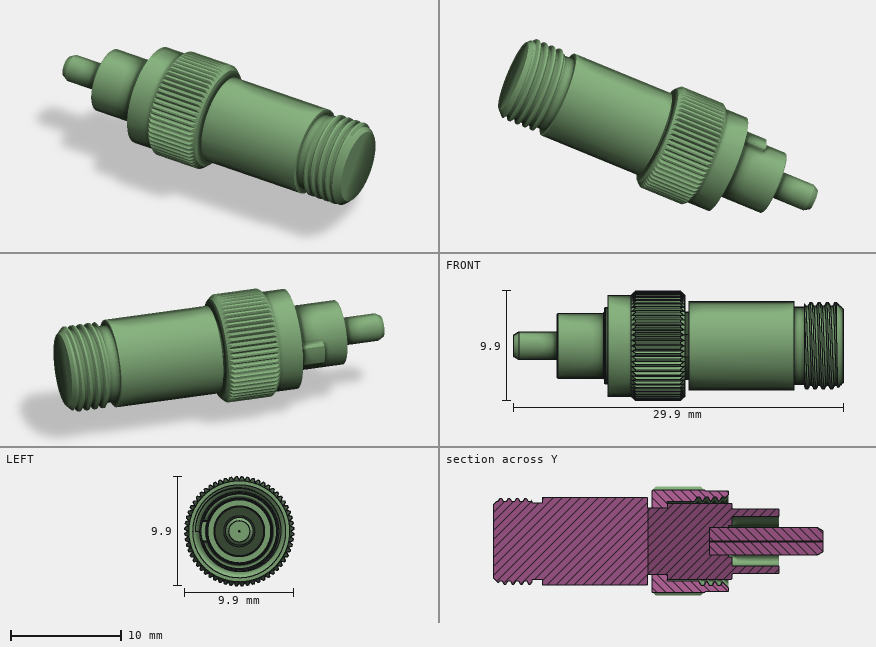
import cadquery as cq
import math


OVERALL_LENGTH = 29.92

FIBRE_RADIUS = 0.063
FERRULE_RADIUS = 1.25
FERRULE_TIP_RADIUS = 0.95
FERRULE_TIP_LENGTH = 0.5
FERRULE_SEAT_DEPTH = 1.8

SLEEVE_START = 3.98
SLEEVE_RADIUS = 2.947
SLEEVE_BORE_RADIUS = 2.2
SLEEVE_EDGE = 0.1
CLEARANCE_RADIUS = 1.4
CLEARANCE_DEPTH = 0.3
COLLAR_START = 8.25
COLLAR_RADIUS = 3.47
NECK_RADIUS = 3.05
NECK_FLAT_OFFSET = 2.87
KEY_START = 6.25
KEY_WIDTH = 1.97
KEY_CHAMFER = 0.135

NUT_START = 8.6
NUT_END = 15.55
NUT_RADIUS = 4.58
KNURL_START = 10.68
KNURL_RADIUS = 4.952
KNURL_ROOT_RADIUS = 4.67
KNURL_COUNT = 60
KNURL_GROOVE_WIDTH = 0.35
KNURL_CHAMFER_LENGTH = 0.42
NUT_MOUTH_RADIUS = 4.22
NUT_THREAD_MINOR_RADIUS = 3.6
NUT_THREAD_MAJOR_RADIUS = 3.98
NUT_THREAD_LENGTH = 2.55
NUT_WEB = 1.45

BARREL_START = 15.92
BARREL_RADIUS = 4.0
BARREL_END = 25.45
RELIEF_RADIUS = 3.5
SOCKET_START = 26.4
SOCKET_CREST_RADIUS = 3.92
SOCKET_ROOT_RADIUS = 3.62
SOCKET_CHAMFER = 0.6

THREAD_PITCH = 0.75
THREAD_FLANK = math.radians(30)
THREAD_ROOT_WIDTH = 0.25
SOCKET_GROOVE_START = 25.5
SOCKET_GROOVE_LENGTH = 4.13
NUT_GROOVE_START = 8.9

OVERCUT = 0.05

WEB_START = NUT_END - NUT_WEB
BORE_FLOOR = COLLAR_START
FERRULE_END = BORE_FLOOR + CLEARANCE_DEPTH + FERRULE_SEAT_DEPTH


def revolved(profile):
    """Solid of revolution about X from a closed profile of (x, radius) points."""
    return cq.Workplane("XY").polyline(profile).close().revolve(360, (0, 0, 0), (1, 0, 0))


def rod(x_start, x_end, radius):
    """Plain cylinder along X."""
    return cq.Workplane("YZ", origin=(x_start, 0, 0)).circle(radius).extrude(x_end - x_start)


def thread_groove(x_start, length, root_radius, mouth_radius, start_angle):
    """Right-handed helical groove, narrow at the root, starting start_angle from -Z toward +Y."""
    outward = math.copysign(1, mouth_radius - root_radius)
    far_radius = mouth_radius + outward * OVERCUT
    root_half = THREAD_ROOT_WIDTH / 2
    far_half = root_half + abs(far_radius - root_radius) * math.tan(THREAD_FLANK)
    helix = cq.Wire.makeHelix(THREAD_PITCH, length, root_radius)
    groove = (
        cq.Workplane("XZ")
        .polyline([
            (root_radius, -root_half),
            (far_radius, -far_half),
            (far_radius, far_half),
            (root_radius, root_half),
        ])
        .close()
        .sweep(cq.Workplane(obj=helix), isFrenet=True)
    )
    groove = groove.rotate((0, 0, 0), (0, 1, 0), 90).rotate((0, 0, 0), (1, 0, 0), start_angle)
    return groove.translate((x_start, 0, 0))


def make_fibre():
    return rod(0, FERRULE_END, FIBRE_RADIUS)


def make_ferrule():
    ferrule = revolved([
        (0, 0),
        (0, FERRULE_TIP_RADIUS),
        (FERRULE_TIP_LENGTH, FERRULE_RADIUS),
        (FERRULE_END, FERRULE_RADIUS),
        (FERRULE_END, 0),
    ])
    return ferrule.cut(make_fibre())


def make_key():
    """Locating key on the +Y side of the sleeve, with chamfered long edges."""
    blank = (
        cq.Workplane("XY")
        .box(COLLAR_START - KEY_START, COLLAR_RADIUS, KEY_WIDTH, centered=(False, False, True))
        .translate((KEY_START, 0, 0))
    )
    key = blank.intersect(rod(KEY_START, COLLAR_START, COLLAR_RADIUS))
    key = key.faces(">Y").edges("|X").chamfer(KEY_CHAMFER)
    inside = rod(KEY_START, COLLAR_START, (SLEEVE_BORE_RADIUS + SLEEVE_RADIUS) / 2)
    return key.cut(inside)


def make_shell():
    """Plug shell: keyed sleeve, collar inside the nut and flatted neck through the nut's rear wall."""
    body = revolved([
        (SLEEVE_START, 0),
        (SLEEVE_START, SLEEVE_RADIUS - SLEEVE_EDGE),
        (SLEEVE_START + SLEEVE_EDGE, SLEEVE_RADIUS),
        (COLLAR_START - SLEEVE_EDGE, SLEEVE_RADIUS),
        (COLLAR_START, SLEEVE_RADIUS + SLEEVE_EDGE),
        (COLLAR_START, COLLAR_RADIUS - SLEEVE_EDGE),
        (COLLAR_START + SLEEVE_EDGE, COLLAR_RADIUS),
        (WEB_START, COLLAR_RADIUS),
        (WEB_START, NECK_RADIUS),
        (BARREL_START, NECK_RADIUS),
        (BARREL_START, 0),
    ])
    bore = revolved([
        (SLEEVE_START, 0),
        (SLEEVE_START, SLEEVE_BORE_RADIUS + SLEEVE_EDGE),
        (SLEEVE_START + SLEEVE_EDGE, SLEEVE_BORE_RADIUS),
        (BORE_FLOOR, SLEEVE_BORE_RADIUS),
        (BORE_FLOOR, CLEARANCE_RADIUS),
        (BORE_FLOOR + CLEARANCE_DEPTH, CLEARANCE_RADIUS),
        (BORE_FLOOR + CLEARANCE_DEPTH, FERRULE_RADIUS),
        (FERRULE_END, FERRULE_RADIUS),
        (FERRULE_END, 0),
    ])
    neck_length = BARREL_START - WEB_START
    flatted = (
        cq.Workplane("XY")
        .box(neck_length, 2 * NECK_FLAT_OFFSET, 2 * NECK_RADIUS, centered=(False, True, True))
        .translate((WEB_START, 0, 0))
    )
    flat_waste = rod(WEB_START, BARREL_START, COLLAR_RADIUS).cut(flatted)
    keyed = body.union(make_key())
    key_root = keyed.edges(
        cq.selectors.BoxSelector(
            (KEY_START - OVERCUT, SLEEVE_BORE_RADIUS, -KEY_WIDTH),
            (COLLAR_START - SLEEVE_EDGE, SLEEVE_RADIUS + OVERCUT, KEY_WIDTH),
        )
    )
    return key_root.chamfer(SLEEVE_EDGE).cut(bore).cut(flat_waste)


def make_knurl_grooves():
    """V grooves along X, evenly spaced around the nut."""
    slope = (KNURL_GROOVE_WIDTH / 2) / (KNURL_RADIUS - KNURL_ROOT_RADIUS)
    far_radius = KNURL_RADIUS + OVERCUT
    far_half = (far_radius - KNURL_ROOT_RADIUS) * slope
    groove = (
        cq.Workplane("YZ", origin=(KNURL_START, 0, 0))
        .polyline([(0, KNURL_ROOT_RADIUS), (far_half, far_radius), (-far_half, far_radius)])
        .close()
        .extrude(NUT_END - KNURL_START)
        .val()
    )
    step = 360 / KNURL_COUNT
    return [
        groove.rotate(cq.Vector(0, 0, 0), cq.Vector(1, 0, 0), i * step)
        for i in range(KNURL_COUNT)
    ]


def make_nut():
    outside = revolved([
        (NUT_START, 0),
        (NUT_START, NUT_RADIUS),
        (KNURL_START, NUT_RADIUS),
        (KNURL_START + KNURL_CHAMFER_LENGTH, KNURL_RADIUS),
        (NUT_END - KNURL_CHAMFER_LENGTH, KNURL_RADIUS),
        (NUT_END, NUT_RADIUS),
        (NUT_END, 0),
    ])
    mouth_depth = NUT_MOUTH_RADIUS - NUT_THREAD_MINOR_RADIUS
    mouth = revolved([
        (NUT_START, 0),
        (NUT_START, NUT_MOUTH_RADIUS),
        (NUT_START + mouth_depth, NUT_THREAD_MINOR_RADIUS),
        (NUT_START + mouth_depth, 0),
    ])
    groove = thread_groove(
        NUT_GROOVE_START,
        NUT_THREAD_LENGTH,
        NUT_THREAD_MAJOR_RADIUS,
        NUT_THREAD_MINOR_RADIUS,
        start_angle=90,
    )
    tube_start = NUT_START - THREAD_PITCH
    tube = (
        rod(tube_start, NUT_END, KNURL_RADIUS + OVERCUT)
        .cut(rod(tube_start, WEB_START, NUT_THREAD_MINOR_RADIUS))
        .cut(rod(WEB_START, NUT_END, NECK_RADIUS))
        .cut(groove)
    )
    threaded = outside.cut(mouth).intersect(tube)
    return cq.Workplane(obj=threaded.val().cut(*make_knurl_grooves()))


def make_socket_thread():
    """Threaded end cut from a longer threaded rod, so that the thread runs out on the end chamfer."""
    threaded = rod(BARREL_END - THREAD_PITCH, OVERALL_LENGTH + THREAD_PITCH, SOCKET_CREST_RADIUS).cut(
        thread_groove(
            SOCKET_GROOVE_START,
            SOCKET_GROOVE_LENGTH,
            SOCKET_ROOT_RADIUS,
            SOCKET_CREST_RADIUS,
            start_angle=0,
        )
    )
    envelope = rod(SOCKET_START, OVERALL_LENGTH, SOCKET_CREST_RADIUS).faces(">X").chamfer(SOCKET_CHAMFER)
    return threaded.intersect(envelope)


def make_barrel():
    barrel = rod(BARREL_START, BARREL_END, BARREL_RADIUS)
    relief = rod(BARREL_END, SOCKET_START, RELIEF_RADIUS)
    return barrel.union(relief).union(make_socket_thread())


fibre = make_fibre()
ferrule = make_ferrule()
shell = make_shell()
nut = make_nut()
barrel = make_barrel()

result = cq.Compound.makeCompound([
    fibre.val(),
    ferrule.val(),
    shell.val(),
    nut.val(),
    barrel.val(),
])